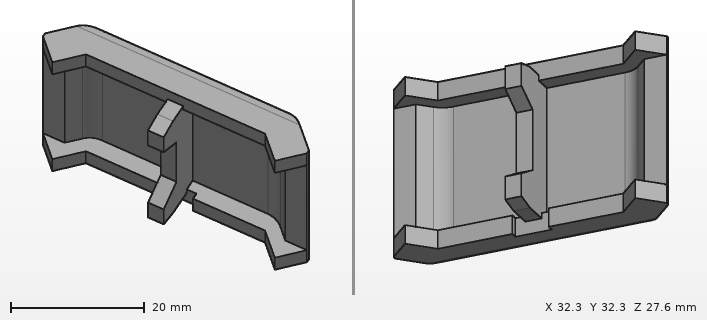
import cadquery as cq
import math

size = 32.3
height = 27.6
leg_width = 5.45
inner_corner = 5.25
leg_length = 5.35
bend_radius = 6.95
end_chamfer = 0.45
wall = 3.07
plate = 3.07

notch_width = 5.98
notch_depth = 1.07

tab_thickness = 2.68
tab_height = 23.25
tab_tip_height = 22.05
tab_reach = 6.1
tab_taper_length = 2.95
tab_gap_reach = 2.13
tab_gap_bottom = 10.0
tab_gap_mouth = 14.47

half_height = height / 2
pocket_half = half_height - plate
bend_centre = (bend_radius, leg_length)
edge_depth = bend_radius * (1 - math.cos(math.pi / 4))

face_depth = -(leg_length + bend_radius * math.tan(math.pi / 8)) / math.sqrt(2)
plate_edge = (leg_width - inner_corner) / math.sqrt(2)
pocket_floor = face_depth + wall
tab_tip = plate_edge + tab_reach

section = cq.Plane(origin=(size / 2, size / 2, 0), xDir=(1, -1, 0), normal=(1, 1, 0))


def mirrored(point):
    """Reflect a plan point about the line x + y = size."""
    x, y = point
    return (size - y, size - x)


def bend_point(radius, degrees):
    """Point on the lower bend, with the angle measured from the leg towards the wall."""
    angle = math.radians(degrees)
    return (
        bend_centre[0] - radius * math.cos(angle),
        bend_centre[1] + radius * math.sin(angle),
    )


def add_bends(outline, radius):
    """Continue an outline from the lower leg, around both bends, to the upper leg."""
    start, middle, end = [bend_point(radius, a) for a in (0, 22.5, 45)]
    return (
        outline.lineTo(*start)
        .threePointArc(middle, end)
        .lineTo(*mirrored(end))
        .threePointArc(mirrored(middle), mirrored(start))
    )


def make_body():
    leg_end = [(leg_width, inner_corner), (leg_width, 0), (end_chamfer, 0), (0, end_chamfer)]
    outline = cq.Workplane("XY", origin=(0, 0, -half_height)).moveTo(*leg_end[0])
    for point in leg_end[1:]:
        outline = outline.lineTo(*point)
    outline = add_bends(outline, bend_radius)
    for point in reversed(leg_end):
        outline = outline.lineTo(*mirrored(point))
    body = outline.close().extrude(height)

    envelope = (
        cq.Workplane(section)
        .moveTo(face_depth + size / 2, 0)
        .rect(size, height)
        .extrude(size, both=True)
        .faces("<(1, -1, 0)")
        .edges("|(1, 1, 0)")
        .fillet(edge_depth)
    )
    return body.intersect(envelope)


def make_pocket():
    """Space between the plates; the leg walls end in a 45 degree mitre."""
    mitre_start = (end_chamfer, 0)
    mitre_end = (wall, wall - end_chamfer)
    outline = cq.Workplane("XY", origin=(0, 0, -pocket_half)).moveTo(*mitre_start)
    outline = add_bends(outline.lineTo(*mitre_end), bend_radius - wall)
    return (
        outline.lineTo(*mirrored(mitre_end))
        .lineTo(*mirrored(mitre_start))
        .lineTo(size, 0)
        .close()
        .extrude(2 * pocket_half)
    )


def make_notch():
    """Relief through the lower plate; local y of the section points down."""
    return (
        cq.Workplane(section)
        .moveTo(plate_edge, (pocket_half + half_height) / 2)
        .rect(2 * notch_depth, plate)
        .extrude(notch_width / 2, both=True)
    )


def make_tab():
    """Clip tab with a tapered tip and a flared central gap."""
    half_profile = [
        (pocket_floor, tab_height / 2),
        (tab_tip - tab_taper_length, tab_height / 2),
        (tab_tip, tab_tip_height / 2),
        (tab_tip, tab_gap_mouth / 2),
        (plate_edge + tab_gap_reach, tab_gap_bottom / 2),
    ]
    other_half = [(x, -y) for x, y in reversed(half_profile)]
    return (
        cq.Workplane(section)
        .polyline(half_profile + other_half)
        .close()
        .extrude(tab_thickness / 2, both=True)
    )


result = make_body().cut(make_pocket()).cut(make_notch()).union(make_tab())